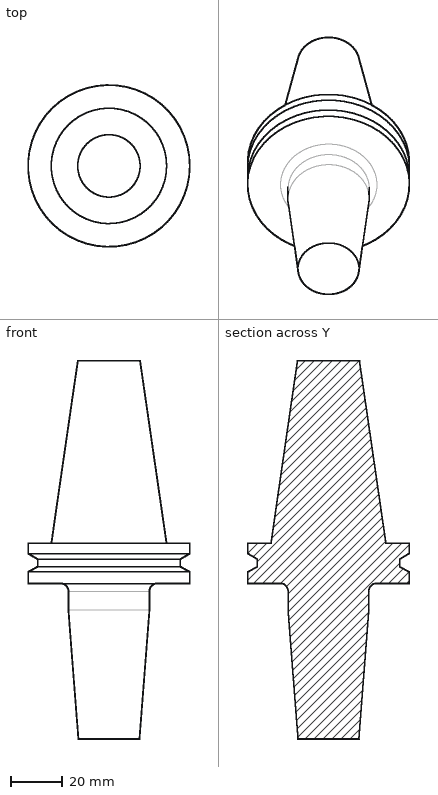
import cadquery as cq

total_length = 148.4

taper_length = 71.5
taper_top_radius = 24.5 / 2
taper_base_radius = 45.3 / 2

flange_radius = 63.5 / 2
flange_height = 15.9
groove_radius = 56.0 / 2
groove_top = 4.2
groove_floor_top = 6.4
groove_floor_bottom = 9.2
groove_bottom = 11.3

neck_radius = 31.9 / 2
neck_fillet = 3.0
neck_length = 10.2
nose_tip_radius = 24.0 / 2

neck_end = -flange_height - neck_length
nose_tip = taper_length - total_length

profile = (
    cq.Workplane("XZ")
    .moveTo(0, taper_length)
    .lineTo(taper_top_radius, taper_length)
    .lineTo(taper_base_radius, 0)
    .lineTo(flange_radius, 0)
    .lineTo(flange_radius, -groove_top)
    .lineTo(groove_radius, -groove_floor_top)
    .lineTo(groove_radius, -groove_floor_bottom)
    .lineTo(flange_radius, -groove_bottom)
    .lineTo(flange_radius, -flange_height)
    .lineTo(neck_radius + neck_fillet, -flange_height)
    .radiusArc((neck_radius, -flange_height - neck_fillet), -neck_fillet)
    .lineTo(neck_radius, neck_end)
    .lineTo(nose_tip_radius, nose_tip)
    .lineTo(0, nose_tip)
    .close()
)

result = profile.revolve(360, (0, 0, 0), (0, 1, 0))